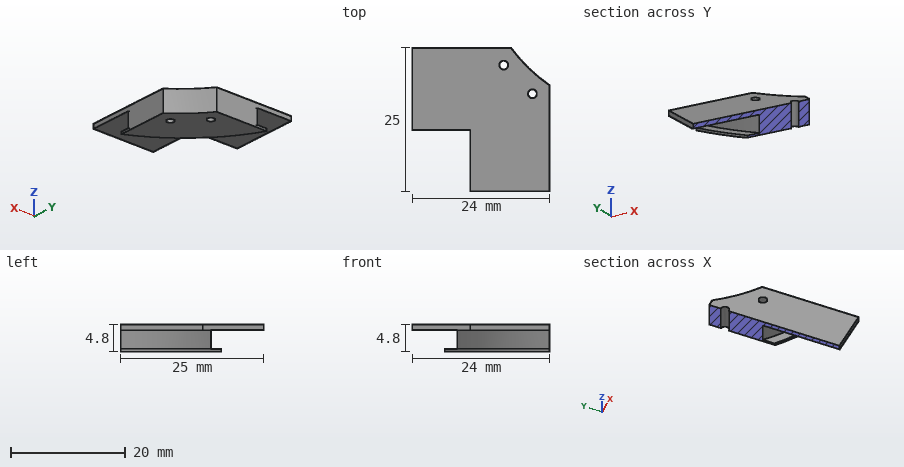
import cadquery as cq

plate_width = 24.0
plate_length = 25.0
plate_thickness = 1.0
leg_width_x = 13.85
leg_width_y = 14.35

body_height = 3.3
rim_thickness = 0.5
total_height = rim_thickness + body_height + plate_thickness

arc_center = (16.5, 17.25)
rim_center = (16.5, 18.0)
inner_radius = 28.92
body_radius = 36.92
rim_radius = 39.2

hole_diameter = 1.5
hole_near = 3.0
hole_far = 8.0


def corner_sector(center, radius, base_z, height):
    """Disc portion that lies inside the two straight outer sides."""
    disc = cq.Workplane("XY", origin=(*center, base_z)).circle(radius).extrude(height)
    quadrant = cq.Workplane("XY", origin=(0, 0, base_z)).box(
        plate_width, plate_length, height, centered=False
    ).translate((-plate_width, -plate_length, 0))
    return disc.intersect(quadrant)


plate = (
    cq.Workplane("XY", origin=(0, 0, rim_thickness + body_height))
    .polyline([
        (0, 0),
        (-plate_width, 0),
        (-plate_width, -leg_width_y),
        (-leg_width_x, -leg_width_y),
        (-leg_width_x, -plate_length),
        (0, -plate_length),
    ])
    .close()
    .extrude(plate_thickness)
)

rim = corner_sector(rim_center, rim_radius, 0, rim_thickness)
body = corner_sector(arc_center, body_radius, rim_thickness, body_height)

corner_cut = cq.Workplane("XY").center(*arc_center).circle(inner_radius).extrude(total_height)
holes = (
    cq.Workplane("XY")
    .pushPoints([(-hole_far, -hole_near), (-hole_near, -hole_far)])
    .circle(hole_diameter / 2)
    .extrude(total_height)
)

result = plate.union(body).union(rim).cut(corner_cut).cut(holes)